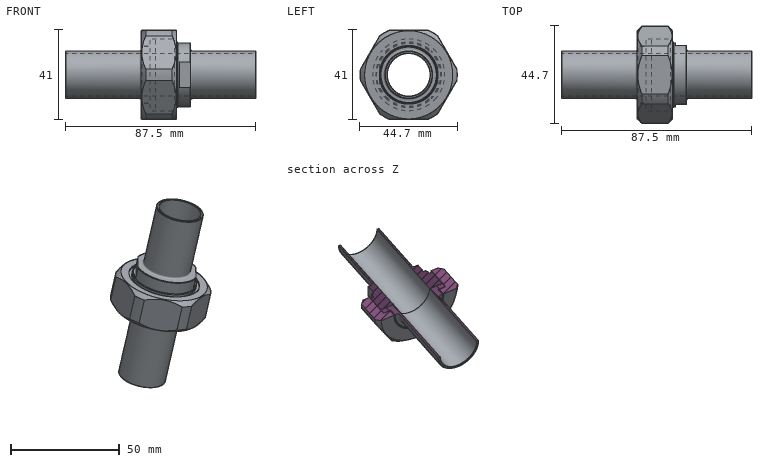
import cadquery as cq

length = 87.5
end_x = length / 2

pipe_radius = 22.0 / 2
bore_radius = 19.6 / 2
pipe_end_chamfer = 0.3
bore_end_chamfer = 0.2
root_fillet = 0.8

nut_left = -8.9
nut_right = 7.35
nut_across_flats = 41.0
nut_corner_radius = 44.7 / 2
nut_turn = 30
nut_chamfer = 2.1
nut_hole_radius = 26.5 / 2
nut_hole_chamfer = 0.3
thread_radius = 33.1 / 2
nut_lip = 3.9

tail_neck_radius = 26.0 / 2
tail_edge_chamfer = 0.3
tail_flange_thickness = 2.6

thread_run_out = 0.9
rim_radius = 30.3 / 2
rim_right = 8.0
rim_taper = 0.35
collar_radius = 29.5 / 2
collar_right = 13.7
collar_chamfer = 0.3
flats_left = 8.75
flats_width = 27.0

lip_x = nut_left + nut_lip
joint_x = lip_x + tail_flange_thickness


def tube(left, right, outer_radius, inner_radius):
    """Tube along X between two X positions."""
    return (
        cq.Workplane("YZ", origin=(left, 0, 0))
        .circle(outer_radius)
        .circle(inner_radius)
        .extrude(right - left)
    )


def revolve_about_x(profile):
    """Turn a closed (x, radius) profile about the X axis."""
    return profile.close().revolve(360, (0, 0, 0), (1, 0, 0))


def make_nut():
    width = nut_right - nut_left
    blank = (
        cq.Workplane("YZ", origin=(nut_left, 0, 0))
        .circle(nut_corner_radius)
        .extrude(width)
        .faces("<X or >X")
        .chamfer(nut_chamfer)
    )
    hexagon = (
        cq.Workplane("YZ", origin=(nut_left, 0, 0))
        .polygon(6, nut_across_flats, circumscribed=True)
        .extrude(width)
        .rotate((0, 0, 0), (1, 0, 0), nut_turn)
    )
    hole = revolve_about_x(
        cq.Workplane("XY")
        .moveTo(nut_left, 0)
        .lineTo(nut_left, nut_hole_radius + nut_hole_chamfer)
        .lineTo(nut_left + nut_hole_chamfer, nut_hole_radius)
        .lineTo(lip_x, nut_hole_radius)
        .lineTo(lip_x, thread_radius)
        .lineTo(nut_right, thread_radius)
        .lineTo(nut_right, 0)
    )
    return blank.intersect(hexagon).cut(hole)


def make_tailpiece():
    return revolve_about_x(
        cq.Workplane("XY")
        .moveTo(-end_x + bore_end_chamfer, bore_radius)
        .lineTo(-end_x, bore_radius + bore_end_chamfer)
        .lineTo(-end_x, pipe_radius - pipe_end_chamfer)
        .lineTo(-end_x + pipe_end_chamfer, pipe_radius)
        .lineTo(nut_left - root_fillet, pipe_radius)
        .radiusArc((nut_left, pipe_radius + root_fillet), -root_fillet)
        .lineTo(nut_left, tail_neck_radius - tail_edge_chamfer)
        .lineTo(nut_left + tail_edge_chamfer, tail_neck_radius)
        .lineTo(lip_x, tail_neck_radius)
        .lineTo(lip_x, thread_radius)
        .lineTo(joint_x, thread_radius)
        .lineTo(joint_x, bore_radius)
    )


def make_body():
    thread_end = nut_right - thread_run_out
    turned = revolve_about_x(
        cq.Workplane("XY")
        .moveTo(joint_x, bore_radius)
        .lineTo(joint_x, thread_radius)
        .lineTo(thread_end, thread_radius)
        .lineTo(thread_end, rim_radius)
        .lineTo(rim_right - rim_taper, rim_radius)
        .lineTo(rim_right, collar_radius)
        .lineTo(collar_right - collar_chamfer, collar_radius)
        .lineTo(collar_right, collar_radius - collar_chamfer)
        .lineTo(collar_right, pipe_radius + root_fillet)
        .radiusArc((collar_right + root_fillet, pipe_radius), -root_fillet)
        .lineTo(end_x - pipe_end_chamfer, pipe_radius)
        .lineTo(end_x, pipe_radius - pipe_end_chamfer)
        .lineTo(end_x, bore_radius + bore_end_chamfer)
        .lineTo(end_x - bore_end_chamfer, bore_radius)
    )
    flats_length = collar_right - flats_left
    outside_flats = (
        tube(flats_left, collar_right, rim_radius, bore_radius)
        .cut(
            cq.Workplane("XY", origin=(flats_left, 0, 0))
            .box(flats_length, flats_width, 2 * rim_radius, centered=(False, True, True))
        )
    )
    return turned.cut(outside_flats)


nut = make_nut()
tailpiece = make_tailpiece()
body = make_body()

result = cq.Compound.makeCompound([nut.val(), tailpiece.val(), body.val()])